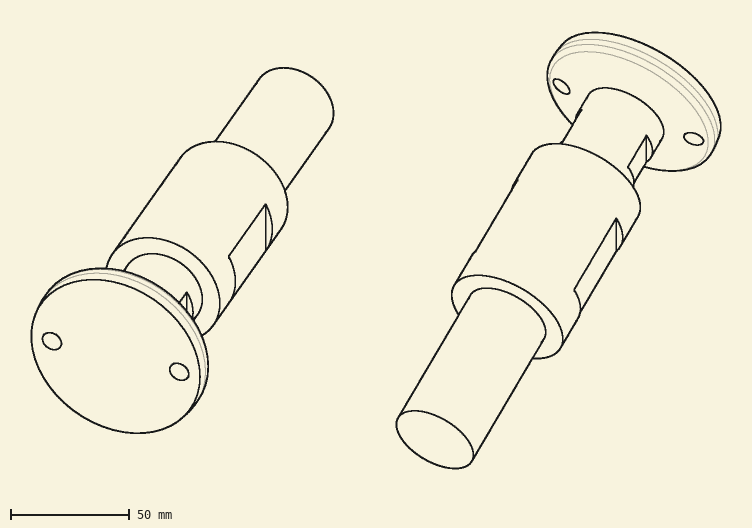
import cadquery as cq
import math

total_length = 197.0

foot_diameter = 78.0
rim_top = 7.3
rim_seam = 4.3
sole_inset = 0.5
shoulder_radius = 2.4
cone_top = 13.0

hole_diameter = 8.5
hole_offset = 29.0

shank_diameter = 36.0
shank_flat_width = 30.3
shank_flat_start = 23.8
shank_flat_length = 18.0

sleeve_diameter = 52.0
sleeve_start = 52.0
sleeve_length = 75.0
sleeve_flat_width = 45.9
sleeve_flat_length = 40.8


def cone_slope():
    """Slope, in radians, of the cone that leaves the shank and meets the shoulder arc at a tangent."""
    run = foot_diameter / 2 - shoulder_radius - shank_diameter / 2
    drop = cone_top - rim_top
    return math.atan2(drop, run) - math.asin(shoulder_radius / math.hypot(run, drop))


def cylinder(diameter, start, length):
    """Solid cylinder along +Y from y = start."""
    plane = cq.Plane(origin=(0, start, 0), xDir=(1, 0, 0), normal=(0, 1, 0))
    return cq.Workplane(plane).circle(diameter / 2).extrude(length)


def cut_flats(body, diameter, width, start, length):
    """Cut a pair of opposite flats facing -X and +X."""
    depth = (diameter - width) / 2
    for side in (-1, 1):
        cutter = cq.Workplane("XY").box(2 * depth, length, diameter)
        body = body.cut(cutter.translate((side * (width / 2 + depth), start + length / 2, 0)))
    return body


def make_foot_plate():
    """Disc with a tapered sole edge, a straight rim, a rounded shoulder and a conical top."""
    slope = cone_slope()
    rim_radius = foot_diameter / 2
    shank_radius = shank_diameter / 2
    arc_center = rim_radius - shoulder_radius
    mid_angle = (math.pi / 2 - slope) / 2

    def shoulder_point(angle):
        return (
            arc_center + shoulder_radius * math.cos(angle),
            rim_top + shoulder_radius * math.sin(angle),
        )

    profile = (
        cq.Workplane("XY")
        .lineTo(rim_radius - sole_inset, 0)
        .lineTo(rim_radius, rim_seam)
        .lineTo(rim_radius, rim_top)
        .threePointArc(shoulder_point(mid_angle), shoulder_point(2 * mid_angle))
        .lineTo(shank_radius, cone_top)
        .lineTo(0, cone_top)
        .close()
    )
    return profile.revolve(360, (0, 0, 0), (0, 1, 0))


def cut_fixing_holes(body):
    """Cut the two holes that lean outward, away from the sole."""
    slope = cone_slope()
    for side in (-1, 1):
        axis = cq.Vector(side * math.sin(slope), math.cos(slope), 0)
        start = cq.Vector(side * hole_offset, 0, 0) - axis * cone_top
        drill = cq.Solid.makeCylinder(hole_diameter / 2, 3 * cone_top, start, axis)
        body = body.cut(cq.Workplane(drill))
    return body


def make_spindle():
    """Foot plate and full-length shank in one piece."""
    shank = cylinder(shank_diameter, cone_top, total_length - cone_top)
    shank = cut_flats(shank, shank_diameter, shank_flat_width, shank_flat_start, shank_flat_length)
    return cut_fixing_holes(make_foot_plate()).union(shank)


def make_sleeve():
    """Sleeve around the shank, with flats midway along its length."""
    sleeve = cylinder(sleeve_diameter, sleeve_start, sleeve_length)
    sleeve = sleeve.cut(cylinder(shank_diameter, sleeve_start, sleeve_length))
    flat_start = sleeve_start + (sleeve_length - sleeve_flat_length) / 2
    return cut_flats(sleeve, sleeve_diameter, sleeve_flat_width, flat_start, sleeve_flat_length)


spindle = make_spindle()
sleeve = make_sleeve()

result = cq.Compound.makeCompound([spindle.val(), sleeve.val()])